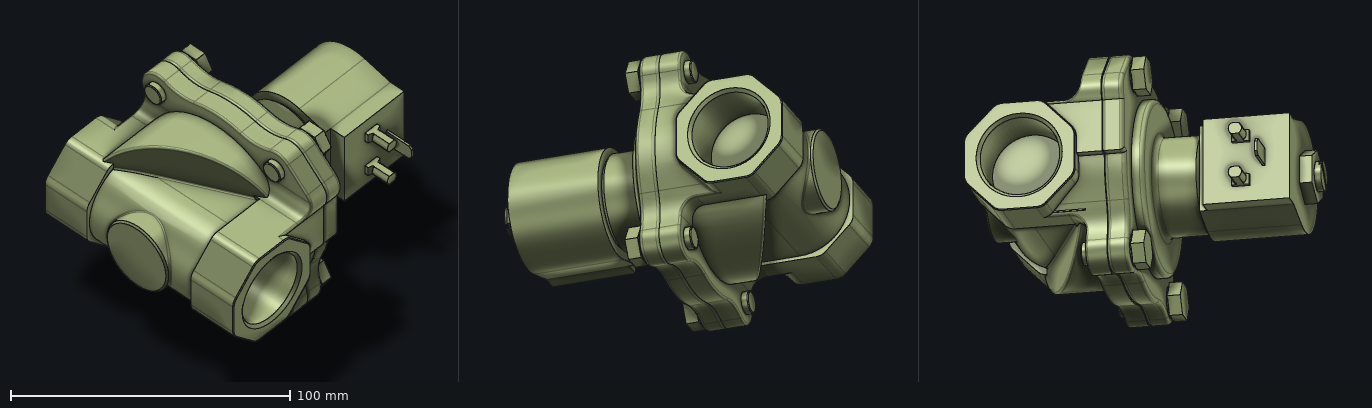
import cadquery as cq
import math


PORT_FACE_LEFT = -45.0
PORT_FACE_RIGHT = 47.0
PORT_LENGTH = 20.7
PORT_HALF_WIDTH = 20.5
PORT_CORNER_RADIUS = 5.1
PORT_END_CHAMFER = 0.4
BORE_RADIUS = 14.6
BORE_CHAMFER = 1.2

DUCT_RADIUS = 19.1
CHAMBER_RADIUS = 35.1
SLOPE_ANGLE = 24.8
SLOPE_CENTRE_Y = 4.9
SLOPE_FILLET = 0.9
BOSS_RADIUS = 15.0
BOSS_FACE_Y = -20.6
BOSS_CHAMFER = 0.7
ROOT_FILLET = 0.7

FLANGE_BOTTOM_Y = 21.9
JOINT_Y = 29.8
COVER_TOP_Y = 37.8
FLANGE_RADIUS = 40.9
BOLT_SPACING_X = 57.7
BOLT_SPACING_Z = 65.9
CORNER_RADIUS = 8.0
BLEND_RADIUS = 20.7
LUG_X = 38.1
LUG_Z = 23.9
LUG_EDGE_X = 44.7
WEB_FILLET = 6.1
FLANGE_EDGE_FILLET = 0.7
COVER_TOP_FILLET = 1.5
COVER_BOTTOM_FILLET = 1.2

DISC_RADIUS = 32.2
DISC_TOP_Y = 42.3
DISC_FILLET = 1.6
NECK_RADIUS = 18.0
NECK_ROOT_FILLET = 2.0
NECK_TOP_CHAMFER = 1.3

COIL_BOTTOM_Y = 59.5
COIL_TOP_Y = 94.1
COIL_RADIUS = 20.5
COIL_TANGENT_X = 5.5
COIL_FLAT_X = 18.1
SOCKET_X = 24.8
SOCKET_BOTTOM_Y = 62.4

BLADE_Y = 84.8
BLADE_TIP_X = 37.4
BLADE_WIDTH = 6.3
BLADE_THICKNESS = 1.0
BLADE_CHAMFER = 1.3
PIN_Y = 76.5
PIN_Z = 8.3
PIN_RADIUS = 2.4
PIN_FLAT_HALF_WIDTH = 1.3
PIN_BASE_HALF_WIDTH = 3.2
PIN_BASE_X = 26.3
PIN_NECK_X = 26.9
PIN_ROD_X = 27.6
PIN_TIP_X = 35.0

STEM_RADIUS = 5.5
STEM_TOP_Y = 101.2
SLOT_WIDTH = 1.5
SLOT_DEPTH = 1.0
SLOT_ANGLE = 45
NUT_TOP_Y = 98.8
NUT_ACROSS_FLATS = 17.7

BOLT_RADIUS = 4.1
BOLT_TIP_Y = 19.2
BOLT_TIP_CHAMFER = 0.4
BOLT_HEAD_BOTTOM_Y = 38.4
BOLT_HEAD_TOP_Y = 43.2
BOLT_ACROSS_FLATS = 12.5
BOLT_COLLAR_RADIUS = 5.8

DUCT_START_X = PORT_FACE_LEFT + PORT_LENGTH
DUCT_END_X = PORT_FACE_RIGHT - PORT_LENGTH
TOLERANCE = 0.01

BOLT_X = BOLT_SPACING_X / 2
BOLT_Z = BOLT_SPACING_Z / 2
BOLT_POINTS = [(sx * BOLT_X, sz * BOLT_Z) for sx in (-1, 1) for sz in (-1, 1)]


def hexagon_diameter(across_flats):
    return across_flats / math.cos(math.radians(30))


def level(y):
    """Workplane at height y along the coil axis, with local axes X and Z."""
    return cq.Workplane("XZ", origin=(0, y, 0))


def rise(sketch, bottom_y, top_y):
    """Extrude a sketch on level(bottom_y) up to top_y."""
    return sketch.extrude(bottom_y - top_y)


def cylinder(radius, bottom_y, top_y, points=((0, 0),)):
    return rise(level(bottom_y).pushPoints(points).circle(radius), bottom_y, top_y)


def toward(centre, target, distance):
    """Point at the given distance from centre in the direction of target."""
    dx = target[0] - centre[0]
    dz = target[1] - centre[1]
    length = math.hypot(dx, dz)
    return (centre[0] + distance * dx / length, centre[1] + distance * dz / length)


def minor_arc(path, centre, radius, start, end):
    middle = ((start[0] + end[0]) / 2, (start[1] + end[1]) / 2)
    return path.threePointArc(toward(centre, middle, radius), end)


def blend_centre(corner, side):
    """Centre of the hollow arc touching the flange circle and a corner circle.

    side is +1 for the arc counter-clockwise of the corner, -1 for the clockwise one.
    """
    corner_distance = math.hypot(*corner)
    inner = FLANGE_RADIUS + BLEND_RADIUS
    outer = CORNER_RADIUS + BLEND_RADIUS
    cosine = (inner**2 + corner_distance**2 - outer**2) / (2 * inner * corner_distance)
    angle = math.atan2(corner[1], corner[0]) + side * math.acos(cosine)
    return (inner * math.cos(angle), inner * math.sin(angle))


def flange_outline(y):
    """Wavy four-cornered outline with a lug reaching out beside the right-hand port."""
    origin = (0, 0)
    lug = (LUG_X, LUG_Z)
    other_corners = [(-BOLT_X, BOLT_Z), (-BOLT_X, -BOLT_Z), (BOLT_X, -BOLT_Z)]

    length = math.hypot(LUG_X - BOLT_X, BOLT_Z - LUG_Z)
    offset = (CORNER_RADIUS * (BOLT_Z - LUG_Z) / length, CORNER_RADIUS * (LUG_X - BOLT_X) / length)
    lug_start = (LUG_EDGE_X, LUG_Z - math.sqrt(CORNER_RADIUS**2 - (LUG_EDGE_X - LUG_X) ** 2))
    lug_end = (LUG_X + offset[0], LUG_Z + offset[1])
    corner_point = (BOLT_X + offset[0], BOLT_Z + offset[1])

    path = level(y).moveTo(FLANGE_RADIUS, 0).lineTo(LUG_EDGE_X, 0).lineTo(*lug_start)
    path = minor_arc(path, lug, CORNER_RADIUS, lug_start, lug_end).lineTo(*corner_point)

    corner = (BOLT_X, BOLT_Z)
    for next_corner in other_corners + [None]:
        hollow = blend_centre(corner, 1)
        corner_end = toward(corner, hollow, CORNER_RADIUS)
        circle_point = toward(origin, hollow, FLANGE_RADIUS)
        path = minor_arc(path, corner, CORNER_RADIUS, corner_point, corner_end)
        path = minor_arc(path, hollow, BLEND_RADIUS, corner_end, circle_point)
        if next_corner is None:
            break
        hollow = blend_centre(next_corner, -1)
        circle_end = toward(origin, hollow, FLANGE_RADIUS)
        corner_point = toward(next_corner, hollow, CORNER_RADIUS)
        path = minor_arc(path, origin, FLANGE_RADIUS, circle_point, circle_end)
        path = minor_arc(path, hollow, BLEND_RADIUS, circle_end, corner_point)
        corner = next_corner
    return minor_arc(path, origin, FLANGE_RADIUS, circle_point, (FLANGE_RADIUS, 0)).close()


def make_flange_and_web():
    """Lower flange with the web that carries its side walls down onto the ports."""
    web_z = PORT_HALF_WIDTH
    fillet_y = FLANGE_BOTTOM_Y - WEB_FILLET
    fillet_z = web_z + WEB_FILLET
    bend = WEB_FILLET * (1 - math.sqrt(0.5))
    far = 2 * FLANGE_RADIUS
    section = (
        cq.Workplane("YZ", origin=(-far, 0, 0))
        .moveTo(0, -web_z)
        .lineTo(fillet_y, -web_z)
        .threePointArc((FLANGE_BOTTOM_Y - bend, -web_z - bend), (FLANGE_BOTTOM_Y, -fillet_z))
        .lineTo(FLANGE_BOTTOM_Y, -far)
        .lineTo(JOINT_Y, -far)
        .lineTo(JOINT_Y, far)
        .lineTo(FLANGE_BOTTOM_Y, far)
        .lineTo(FLANGE_BOTTOM_Y, fillet_z)
        .threePointArc((FLANGE_BOTTOM_Y - bend, web_z + bend), (fillet_y, web_z))
        .lineTo(0, web_z)
        .close()
        .extrude(2 * far)
    )
    flange = rise(flange_outline(0), 0, JOINT_Y).intersect(section)
    below_flange = cq.selectors.BoxSelector(
        (-far, -TOLERANCE, -far), (far, FLANGE_BOTTOM_Y + TOLERANCE, far), boundingbox=True
    )
    flange = flange.edges(below_flange).edges("not(|X or <Y)").fillet(FLANGE_EDGE_FILLET)
    gap = cq.Workplane("XY").box(
        DUCT_END_X - DUCT_START_X, fillet_y, 2 * far, centered=(False, False, True)
    )
    return flange.cut(gap.translate((DUCT_START_X, 0, 0)))


def make_chamber():
    """Upright round chamber, cut off below by a sloping flat."""
    far = 2 * CHAMBER_RADIUS
    drop = far * math.tan(math.radians(SLOPE_ANGLE))
    above_slope = (
        cq.Workplane("XY", origin=(0, 0, -far))
        .moveTo(-far, SLOPE_CENTRE_Y - drop)
        .lineTo(far, SLOPE_CENTRE_Y + drop)
        .lineTo(-far, SLOPE_CENTRE_Y + drop)
        .close()
        .extrude(2 * far)
    )
    chamber = cylinder(CHAMBER_RADIUS, -far, JOINT_Y).intersect(above_slope)
    return chamber.faces("<Y").edges().fillet(SLOPE_FILLET)


def make_duct():
    """Round-bottomed duct joining the two ports."""
    start = DUCT_START_X - PORT_LENGTH / 2
    length = DUCT_END_X + PORT_LENGTH / 2 - start
    round_part = cq.Workplane("YZ", origin=(start, 0, 0)).circle(DUCT_RADIUS).extrude(length)
    walls = cq.Workplane("XY").box(
        length, FLANGE_BOTTOM_Y, 2 * DUCT_RADIUS, centered=(False, False, True)
    ).translate((start, 0, 0))
    return round_part.union(walls)


def make_core():
    """Chamber, duct and bottom boss, with the inside corners between them rounded."""
    boss = cylinder(BOSS_RADIUS, BOSS_FACE_Y, 0).faces("<Y").chamfer(BOSS_CHAMFER)
    duct = make_duct().union(boss)
    reach = BOSS_RADIUS + TOLERANCE
    boss_root = cq.selectors.BoxSelector(
        (-reach, BOSS_FACE_Y + BOSS_CHAMFER + TOLERANCE, -reach), (reach, -TOLERANCE, reach), boundingbox=True
    )
    duct = duct.edges(boss_root).edges("%BSPLINE").fillet(ROOT_FILLET)

    core = make_chamber().union(duct)
    slope = math.radians(SLOPE_ANGLE)
    slope_normal = cq.Vector(math.sin(slope), -math.cos(slope), 0)
    far = 2 * CHAMBER_RADIUS
    depth = DUCT_RADIUS + TOLERANCE
    beside_duct = cq.selectors.BoxSelector((-far, -far, -depth), (far, far, depth), boundingbox=True)
    slope_root = core.faces(cq.selectors.ParallelDirSelector(slope_normal)).edges(beside_duct)
    return slope_root.fillet(ROOT_FILLET)


def make_port(face_x, inward):
    """Octagonal port end with rounded corners; inward is the sign of X into the housing."""
    corner_distance = PORT_HALF_WIDTH / math.cos(math.radians(22.5))
    octagon = (
        cq.Workplane("YZ", origin=(face_x, 0, 0))
        .transformed(rotate=(0, 0, 22.5))
        .polygon(8, 2 * corner_distance)
        .extrude(inward * PORT_LENGTH)
    )
    octagon = octagon.edges("|X").fillet(PORT_CORNER_RADIUS)
    return octagon.faces("<X" if inward > 0 else ">X").edges().chamfer(PORT_END_CHAMFER)


def make_bore(face_x, inward):
    bore = cq.Workplane("YZ", origin=(face_x, 0, 0)).circle(BORE_RADIUS).extrude(inward * PORT_LENGTH)
    mouth = cq.Workplane("YZ", origin=(face_x, 0, 0)).circle(BORE_RADIUS + BORE_CHAMFER)
    mouth = mouth.workplane(offset=inward * BORE_CHAMFER).circle(BORE_RADIUS).loft()
    return bore.union(mouth)


def make_housing():
    ports = ((PORT_FACE_LEFT, 1), (PORT_FACE_RIGHT, -1))
    housing = make_flange_and_web().union(make_core())
    for face_x, inward in ports:
        housing = housing.union(make_port(face_x, inward))

    left_port_root = cq.selectors.BoxSelector(
        (PORT_FACE_LEFT + 2 * PORT_END_CHAMFER, TOLERANCE, -PORT_HALF_WIDTH - TOLERANCE),
        (-BOLT_X, PORT_HALF_WIDTH + TOLERANCE, PORT_HALF_WIDTH + TOLERANCE),
        boundingbox=True,
    )
    housing = housing.edges(left_port_root).edges("not %LINE").fillet(ROOT_FILLET)

    for face_x, inward in ports:
        housing = housing.cut(make_bore(face_x, inward))
    return housing.cut(cylinder(BOLT_RADIUS, 0, JOINT_Y, BOLT_POINTS))


def make_cover():
    flange = rise(flange_outline(JOINT_Y), JOINT_Y, COVER_TOP_Y)
    flange = flange.faces(">Y").edges().fillet(COVER_TOP_FILLET)
    flange = flange.faces("<Y").edges().fillet(COVER_BOTTOM_FILLET)
    disc = cylinder(DISC_RADIUS, JOINT_Y, DISC_TOP_Y).faces(">Y").edges().fillet(DISC_FILLET)
    neck = cylinder(NECK_RADIUS, JOINT_Y, COIL_BOTTOM_Y).faces(">Y").edges().chamfer(NECK_TOP_CHAMFER)
    cover = disc.union(neck)
    reach = NECK_RADIUS + TOLERANCE
    neck_root = cq.selectors.BoxSelector(
        (-reach, DISC_TOP_Y - TOLERANCE, -reach), (reach, DISC_TOP_Y + TOLERANCE, reach), boundingbox=True
    )
    cover = cover.edges(neck_root).fillet(NECK_ROOT_FILLET).union(flange)
    return cover.cut(cylinder(BOLT_RADIUS, JOINT_Y, COVER_TOP_Y, BOLT_POINTS))


def make_bolt(x, z):
    shank = cylinder(BOLT_RADIUS, BOLT_TIP_Y, BOLT_HEAD_BOTTOM_Y).faces("<Y").chamfer(BOLT_TIP_CHAMFER)
    collar = cylinder(BOLT_COLLAR_RADIUS, COVER_TOP_Y, BOLT_HEAD_BOTTOM_Y)
    head = level(BOLT_HEAD_BOTTOM_Y).polygon(6, hexagon_diameter(BOLT_ACROSS_FLATS))
    head = rise(head, BOLT_HEAD_BOTTOM_Y, BOLT_HEAD_TOP_Y)
    return shank.union(collar).union(head).translate((x, 0, z))


def make_blade_pin():
    length = BLADE_TIP_X - SOCKET_X
    blade = cq.Workplane("XY").box(length, BLADE_THICKNESS, BLADE_WIDTH, centered=(False, True, True))
    blade = blade.edges(">X and |Y").chamfer(BLADE_CHAMFER)
    return blade.translate((SOCKET_X, BLADE_Y, 0))


def make_round_pin(z):
    """Rod with a flat on its +Z and -Z sides, on a wider foot that narrows to the flats."""
    half_height = math.sqrt(PIN_RADIUS**2 - PIN_FLAT_HALF_WIDTH**2)
    half_outline = [
        (SOCKET_X, PIN_BASE_HALF_WIDTH),
        (PIN_BASE_X, PIN_BASE_HALF_WIDTH),
        (PIN_NECK_X, PIN_FLAT_HALF_WIDTH),
        (PIN_TIP_X, PIN_FLAT_HALF_WIDTH),
    ]
    mirrored = [(x, -y) for x, y in reversed(half_outline)]
    foot = cq.Workplane("XY", origin=(0, 0, -half_height)).polyline(half_outline + mirrored).close()
    foot = foot.extrude(2 * half_height)
    rod = cq.Workplane("YZ", origin=(PIN_ROD_X, 0, 0)).circle(PIN_RADIUS).extrude(PIN_TIP_X - PIN_ROD_X)
    flats = cq.Workplane("XY").box(4 * PIN_TIP_X, 4 * PIN_RADIUS, 2 * half_height)
    return foot.union(rod.intersect(flats)).translate((0, PIN_Y, z))


def make_coil():
    """Round coil whose sides run tangentially to a flat that carries the connector socket."""
    tangent_z = math.sqrt(COIL_RADIUS**2 - COIL_TANGENT_X**2)
    flat_z = tangent_z - (COIL_FLAT_X - COIL_TANGENT_X) * COIL_TANGENT_X / tangent_z
    case = (
        level(COIL_BOTTOM_Y)
        .moveTo(COIL_FLAT_X, -flat_z)
        .lineTo(COIL_FLAT_X, flat_z)
        .lineTo(COIL_TANGENT_X, tangent_z)
        .threePointArc((-COIL_RADIUS, 0), (COIL_TANGENT_X, -tangent_z))
        .close()
    )
    case = rise(case, COIL_BOTTOM_Y, COIL_TOP_Y)
    socket = cq.Workplane("XY").box(
        SOCKET_X, COIL_TOP_Y - SOCKET_BOTTOM_Y, 2 * flat_z, centered=(False, False, True)
    ).translate((0, SOCKET_BOTTOM_Y, 0))
    coil = case.union(socket).union(make_blade_pin())
    for z in (-PIN_Z, PIN_Z):
        coil = coil.union(make_round_pin(z))
    return coil.cut(cylinder(STEM_RADIUS, COIL_BOTTOM_Y, COIL_TOP_Y))


def make_nut():
    outline = level(COIL_TOP_Y).transformed(rotate=(0, 0, 30)).polygon(6, hexagon_diameter(NUT_ACROSS_FLATS))
    return rise(outline, COIL_TOP_Y, NUT_TOP_Y).cut(cylinder(STEM_RADIUS, COIL_TOP_Y, NUT_TOP_Y))


def make_stem():
    """Stem standing on the neck, with a screwdriver slot across its end."""
    stem = cylinder(STEM_RADIUS, COIL_BOTTOM_Y, STEM_TOP_Y)
    slot = level(STEM_TOP_Y).transformed(rotate=(0, 0, SLOT_ANGLE)).rect(4 * STEM_RADIUS, SLOT_WIDTH)
    return stem.cut(slot.extrude(SLOT_DEPTH))


housing = make_housing()
cover = make_cover()
bolts = [make_bolt(x, z) for x, z in BOLT_POINTS]
coil = make_coil()
nut = make_nut()
stem = make_stem()

result = cq.Compound.makeCompound(
    [housing.val(), cover.val(), *[bolt.val() for bolt in bolts], coil.val(), nut.val(), stem.val()]
)